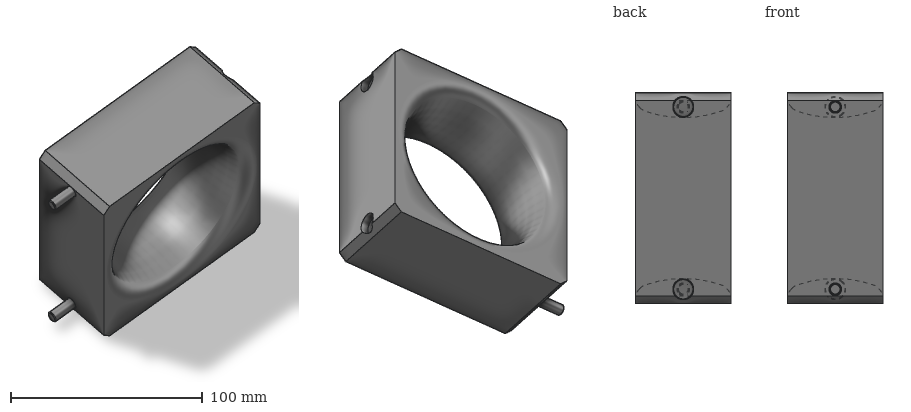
import cadquery as cq
import math

thickness = 50.0
side = 110.0
corner_chamfer = 4.1

throat_radius = 41.9
waist_arc_radius = 60.0
mouth_round = 8.0

screw_pitch = 95.0
shank_diameter = 6.0
shank_projection = 14.0
tip_chamfer = 0.5
head_diameter = 10.0
head_height = 6.0
hole_diameter = 6.6
counterbore_diameter = 10.9
counterbore_depth = 9.9

half_thickness = thickness / 2
front_y = -side / 2
back_y = side / 2
seat_y = back_y - counterbore_depth
tip_y = front_y - shank_projection
screw_heights = [-screw_pitch / 2, screw_pitch / 2]


def y_cylinder(diameter, y_start, y_end, z):
    """Cylinder along Y at X = 0 and height z."""
    start = cq.Workplane("XZ", origin=(0, y_start, z))
    return start.circle(diameter / 2).extrude(y_start - y_end)


def make_bore():
    """Revolved cutter whose waist arc is tangent to both mouth rounds."""
    waist_center_r = throat_radius + waist_arc_radius
    round_center_x = half_thickness - mouth_round
    center_distance = waist_arc_radius - mouth_round
    mouth_radius = waist_center_r - math.sqrt(center_distance**2 - round_center_x**2)

    tangent_angle = math.asin(round_center_x / center_distance)
    tangent_x = waist_arc_radius * math.sin(tangent_angle)
    tangent_r = waist_center_r - waist_arc_radius * math.cos(tangent_angle)

    middle_angle = (tangent_angle + math.pi / 2) / 2
    middle_x = round_center_x + mouth_round * math.sin(middle_angle)
    middle_r = mouth_radius - mouth_round * math.cos(middle_angle)

    return (
        cq.Workplane("XY")
        .moveTo(-half_thickness, 0)
        .lineTo(-half_thickness, mouth_radius)
        .threePointArc((-middle_x, middle_r), (-tangent_x, tangent_r))
        .threePointArc((0, throat_radius), (tangent_x, tangent_r))
        .threePointArc((middle_x, middle_r), (half_thickness, mouth_radius))
        .lineTo(half_thickness, 0)
        .close()
        .revolve(360, (0, 0, 0), (1, 0, 0))
    )


def make_block():
    """Chamfered block with the waisted bore and two counterbored screw holes."""
    block = cq.Workplane("XY").box(thickness, side, side)
    block = block.edges("|X").chamfer(corner_chamfer)
    block = block.cut(make_bore())
    for z in screw_heights:
        block = block.cut(y_cylinder(hole_diameter, front_y, back_y, z))
        block = block.cut(y_cylinder(counterbore_diameter, seat_y, back_y, z))
    return block


def make_screw(z):
    """Screw with its head on the counterbore seat and its tip past the front."""
    shank = y_cylinder(shank_diameter, tip_y, seat_y, z)
    shank = shank.faces("<Y").chamfer(tip_chamfer)
    head = y_cylinder(head_diameter, seat_y, seat_y + head_height, z)
    return shank.union(head)


block = make_block()
screws = [make_screw(z) for z in screw_heights]

result = cq.Compound.makeCompound([block.val(), *[screw.val() for screw in screws]])